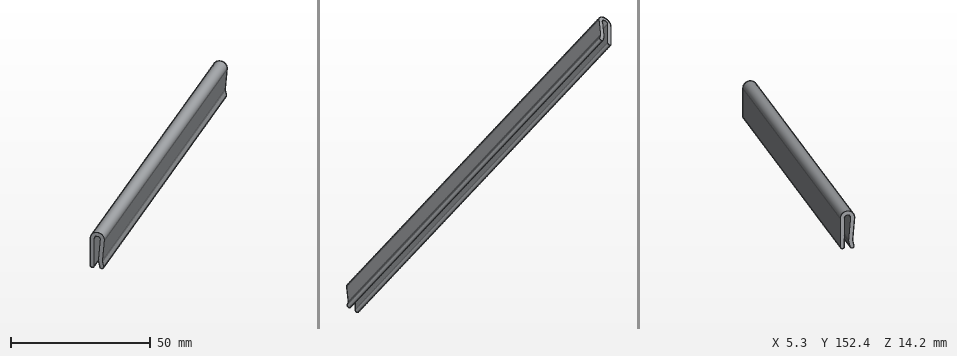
import cadquery as cq
import math

length = 152.4
width = 5.3
height = 14.2
thickness = 1.5

lean_angle = math.radians(5)
flare_angle = math.radians(13)
kink_height = 3.2
kink_radius = 1.5

half_thickness = thickness / 2
top_radius = width / 2 - half_thickness
top_center_z = height - width / 2


def arc_point(center, radius, angle):
    """Point on an X-Z circle, with the angle measured from +X towards +Z."""
    return (center[0] + radius * math.cos(angle), center[1] + radius * math.sin(angle))


top_center = (0, top_center_z)
straight_leg_top = arc_point(top_center, top_radius, math.pi)
top_bend_middle = arc_point(top_center, top_radius, math.pi / 2)
spring_leg_top = arc_point(top_center, top_radius, -lean_angle)

lean_drop = spring_leg_top[1] - kink_height
kink_start = (spring_leg_top[0] - lean_drop * math.tan(lean_angle), kink_height)
kink_center = arc_point(kink_start, kink_radius, -lean_angle)
kink_middle = arc_point(kink_center, kink_radius, math.pi + (flare_angle - lean_angle) / 2)
kink_end = arc_point(kink_center, kink_radius, math.pi + flare_angle)
tip_drop = kink_end[1] - half_thickness
tip = (kink_end[0] + tip_drop * math.tan(flare_angle), half_thickness)

center_line = (
    cq.Workplane("XZ", origin=(0, length / 2, 0))
    .moveTo(straight_leg_top[0], half_thickness)
    .lineTo(*straight_leg_top)
    .threePointArc(top_bend_middle, spring_leg_top)
    .lineTo(*kink_start)
    .threePointArc(kink_middle, kink_end)
    .lineTo(*tip)
)

result = center_line.wire().offset2D(half_thickness, "arc").extrude(length)